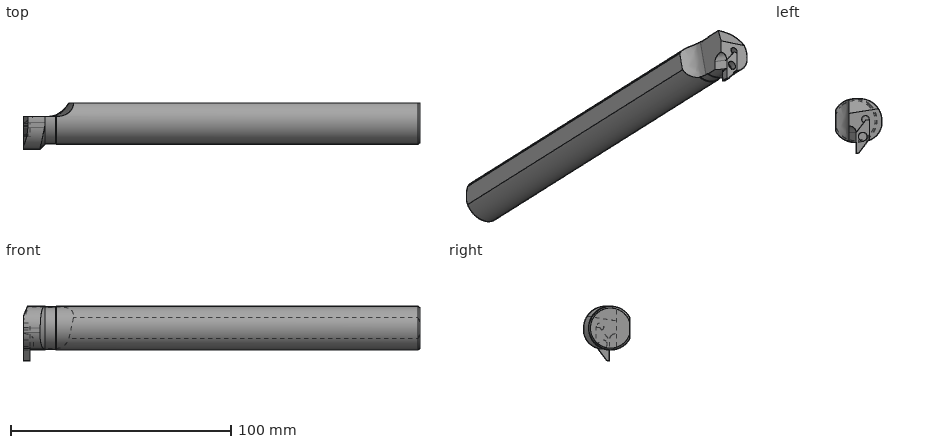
import cadquery as cq
import math

length = 180.0
shank_radius = 9.99
flat_y = 8.8
end_chamfer = 0.9

neck_radius = 9.7
neck_start = 9.9
neck_end = 15.0
neck_step = shank_radius - neck_radius

head_side_y = -12.2
head_center_y = head_side_y + shank_radius
head_side_bottom = -2.0
head_lower_mid = (-10.3, -6.3)
head_bottom_y = -2.9
head_bottom_z = -math.sqrt(shank_radius**2 - head_bottom_y**2)

floor_y = 2.7
runout_start = 13.3
runout_radius = 8.8
clearance_lean = 0.22

relief_line_z = 3.69
relief_line_slope = 0.16
relief_depth_slope = 0.35

scoop_radius = 2.97
scoop_center_z = -5.49
scoop_slope = 0.7

insert_thickness = 3.0
insert_front_y = -0.5
insert_back_y = -6.5
insert_tip_z = -15.03
insert_front_top_z = -5.4
insert_back_bottom_z = -8.5
insert_top_z = 0.2
insert_top_y = -4.9
tip_corner = (-1.8, -14.67)
hole_center = (-3.51, -7.29)
hole_radius = 2.0

seat_relief_radius = 1.71
seat_relief_center = (insert_back_y + seat_relief_radius, 0.5)

oversize = 18.0


def make_shank():
    """Bar and neck, turned around the X axis."""
    outline = (
        cq.Workplane("XY")
        .moveTo(0, 0)
        .lineTo(0, shank_radius)
        .lineTo(neck_start, shank_radius)
        .lineTo(neck_start, neck_radius)
        .lineTo(neck_end - neck_step, neck_radius)
        .lineTo(neck_end, shank_radius)
        .lineTo(length - end_chamfer, shank_radius)
        .lineTo(length, shank_radius - end_chamfer)
        .lineTo(length, 0)
        .close()
    )
    bar = outline.revolve(360, (0, 0, 0), (1, 0, 0))
    flat = cq.Workplane("XY").box(length, oversize, 2 * oversize, centered=(False, False, True))
    return bar.cut(flat.translate((0, flat_y, 0)))


def make_head_bulge():
    """Bulged nose, turned back to the shank radius by a 45 degree cone."""
    bulge = (
        cq.Workplane("YZ")
        .moveTo(head_center_y, shank_radius)
        .radiusArc((head_side_y, 0), -shank_radius)
        .lineTo(head_side_y, head_side_bottom)
        .threePointArc(head_lower_mid, (head_bottom_y, head_bottom_z))
        .lineTo(0, 0)
        .lineTo(0, shank_radius)
        .close()
        .extrude(neck_start)
    )
    envelope = (
        cq.Workplane("XY")
        .moveTo(0, 0)
        .lineTo(0, oversize)
        .lineTo(neck_start + shank_radius - oversize, oversize)
        .lineTo(neck_start, shank_radius)
        .lineTo(neck_start, 0)
        .close()
        .revolve(360, (0, 0, 0), (1, 0, 0))
    )
    return bulge.intersect(envelope)


def sweep_straight(sketch, direction):
    """Solid swept from a closed sketch along a direction oblique to its plane."""
    return cq.Workplane(cq.Solid.extrudeLinear(sketch.val(), [], cq.Vector(*direction)))


def make_side_clearance():
    """Flat floor ending in a concave quarter-round runout."""
    runout_end = runout_start + runout_radius
    outline = (
        cq.Workplane("XY", origin=(-clearance_lean * oversize, 0, -oversize))
        .moveTo(-oversize, floor_y)
        .lineTo(runout_start, floor_y)
        .radiusArc((runout_end, floor_y + runout_radius), -runout_radius)
        .lineTo(runout_end, floor_y + oversize)
        .lineTo(-oversize, floor_y + oversize)
        .close()
        .wire()
    )
    return sweep_straight(outline, (2 * oversize * clearance_lean, 0, 2 * oversize))


def make_face_relief():
    """Wedge leaning the upper nose face back from the tilted line."""
    wedge = (
        cq.Workplane("XZ")
        .moveTo(0, 0)
        .lineTo(relief_depth_slope * oversize, oversize)
        .lineTo(-oversize, oversize)
        .lineTo(-oversize, 0)
        .close()
        .extrude(oversize, both=True)
    )
    tilt = -math.degrees(math.atan(relief_line_slope))
    return wedge.rotate((0, 0, 0), (1, 0, 0), tilt).translate((0, 0, relief_line_z))


def make_chip_scoop():
    """Round-topped scoop that runs out through the clearance floor."""
    center_y = insert_front_y + scoop_radius
    outline = (
        cq.Workplane("YZ")
        .moveTo(insert_front_y, -oversize)
        .lineTo(insert_front_y, scoop_center_z)
        .radiusArc((center_y, scoop_center_z + scoop_radius), scoop_radius)
        .lineTo(center_y + oversize, scoop_center_z + scoop_radius)
        .lineTo(center_y + oversize, -oversize)
        .close()
        .wire()
    )
    run = (floor_y - insert_front_y) / scoop_slope
    return sweep_straight(outline, (run, run * scoop_slope, 0))


def make_insert_blank():
    """Insert outline without its screw hole."""
    return (
        cq.Workplane("YZ")
        .moveTo(insert_front_y, insert_tip_z)
        .lineTo(insert_front_y, insert_front_top_z)
        .lineTo(insert_top_y, insert_top_z)
        .lineTo(insert_back_y, insert_top_z)
        .lineTo(insert_back_y, insert_back_bottom_z)
        .lineTo(*tip_corner)
        .close()
        .extrude(insert_thickness)
    )


def make_insert():
    hole = cq.Workplane("YZ").center(*hole_center).circle(hole_radius).extrude(insert_thickness)
    return make_insert_blank().cut(hole)


def make_holder():
    seat_relief = (
        cq.Workplane("YZ").center(*seat_relief_center).circle(seat_relief_radius).extrude(insert_thickness)
    )
    return (
        make_shank()
        .union(make_head_bulge())
        .cut(make_side_clearance())
        .cut(make_face_relief())
        .cut(make_chip_scoop())
        .cut(seat_relief)
        .cut(make_insert_blank())
    )


holder = make_holder()
insert = make_insert()

result = cq.Compound.makeCompound([holder.solids().val(), insert.solids().val()])